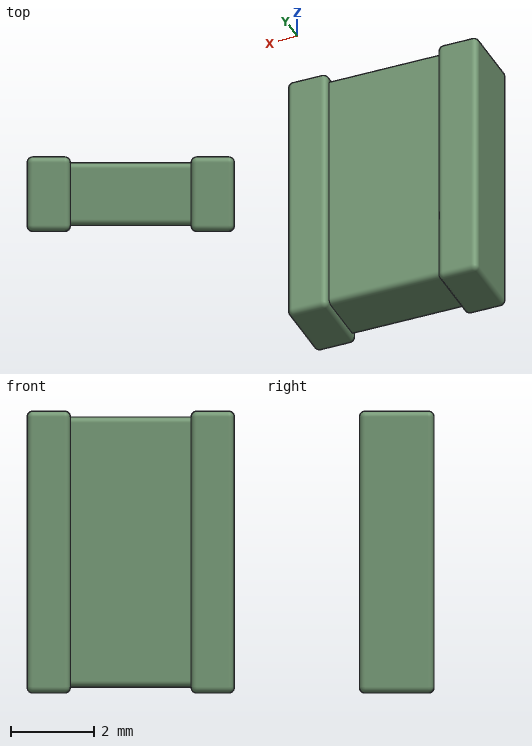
import cadquery as cq

LENGTH = 5.0
DEPTH = 1.8
HEIGHT = 6.8

TERMINAL_WIDTH = 1.05
TERMINAL_FILLET = 0.14
BODY_INSET = 0.14
BODY_FILLET = 0.14

BODY_LENGTH = LENGTH - 2 * TERMINAL_WIDTH
BODY_DEPTH = DEPTH - 2 * BODY_INSET
BODY_HEIGHT = HEIGHT - 2 * BODY_INSET
TERMINAL_CENTER_X = (LENGTH - TERMINAL_WIDTH) / 2


def make_body():
    """Central block with its long edges rounded; its flat ends butt against the terminals."""
    block = cq.Workplane("XY").box(BODY_LENGTH, BODY_DEPTH, BODY_HEIGHT)
    return block.edges("|X").fillet(BODY_FILLET)


def make_terminal(center_x):
    """End terminal: a block rounded on every edge, centred at the given X."""
    block = cq.Workplane("XY").box(TERMINAL_WIDTH, DEPTH, HEIGHT)
    return block.edges().fillet(TERMINAL_FILLET).translate((center_x, 0, 0))


body = make_body()

terminals = []
for side in (-1, 1):
    terminals.append(make_terminal(side * TERMINAL_CENTER_X))

result = cq.Compound.makeCompound([body.val(), *(terminal.val() for terminal in terminals)])